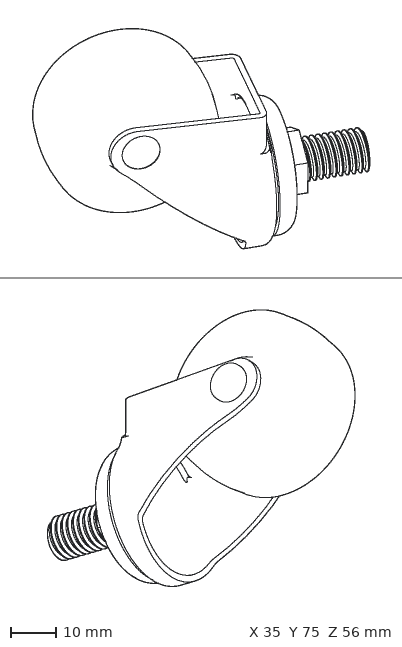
import cadquery as cq
import math


wheel_radius = 20.0
wheel_width = 17.0
axle_y = -30.3
axle_z = 18.45

wheel_edge_fillet = 1.0
crown_height = 0.8
recess_rim_radius = 15.7
recess_floor_radius = 14.25
recess_depth = 1.5
recess_fillet = 0.6
hub_radius = 7.95
hub_draft = 20.0
hub_width = 20.0
hub_fillet = 0.75

shaft_radius = 3.0
head_radius = 4.4
head_thickness = 2.0
head_fillet = 0.5
tail_radius = 4.35
tail_thickness = 0.45
tail_fillet = 0.4

sheet = 1.5
base_radius = 17.5
base_fillet = 1.9
base_inner_fillet = 1.4
plate_step = 0.9
step_outer_radius = 18.2
step_width = 1.05
arm_half_span = 12.5
blend_radius = 8.6
bend_radius = 2.0
plate_top_z = 22.5
arm_end_radius = 5.85
arm_end_y = axle_y - 1.1
skirt_corner_y = -6.9
skirt_corner_z = -8.55
skirt_corner_fillet = 2.25
skirt_end_y = -5.7

neck_radius = 14.4
neck_height = 0.8
neck_taper = 0.8
disc_radius = 15.75
disc_height = 4.8
disc_top_radius = 12.5
shoulder_radius = 14.2
shoulder_drop = 0.45
disc_rim_height = 1.1
nut_flats = 14.2
nut_height = 4.0
thread_length = 15.1
thread_radius = 5.0
thread_root_radius = 4.2
thread_pitch = 1.5
thread_crest = 0.2
thread_foot = 1.1
thread_sink = 0.15

disc_top_y = neck_height + disc_height
nut_top_y = disc_top_y + nut_height
overcut = 7.5


class CirclesOf(cq.Selector):
    """Selects the circular edges of one radius."""

    def __init__(self, radius):
        self.radius = radius

    def filter(self, edges):
        circles = [edge for edge in edges if edge.geomType() == "CIRCLE"]
        return [edge for edge in circles if math.isclose(edge.radius(), self.radius, rel_tol=1e-6)]


def along_x(radius, x_start, x_end):
    """Cylinder on the wheel axis between two X positions."""
    plane = cq.Plane(origin=(x_start, axle_y, axle_z), xDir=(0, 1, 0), normal=(1, 0, 0))
    return cq.Workplane(plane).circle(radius).extrude(x_end - x_start)


def along_y(radius, y_start, y_end):
    """Cylinder on the stem axis between two Y positions (y_start below y_end)."""
    plane = cq.Plane(origin=(0, y_end, 0), xDir=(1, 0, 0), normal=(0, -1, 0))
    return cq.Workplane(plane).circle(radius).extrude(y_end - y_start)


def make_wheel():
    half = wheel_width / 2
    floor = half - recess_depth
    hub_end = hub_width / 2
    shoulder = wheel_radius - crown_height
    slope = math.tan(math.radians(hub_draft))
    hub_foot_radius = hub_radius + slope * recess_depth
    hub_end_radius = hub_radius - slope * (hub_end - half)
    right_side = [
        (half, recess_rim_radius),
        (floor, recess_floor_radius),
        (floor, hub_foot_radius),
        (hub_end, hub_end_radius),
        (hub_end, shaft_radius),
    ]
    left_side = [(-x, radius) for x, radius in reversed(right_side)]
    wheel = (
        cq.Workplane("XY")
        .moveTo(-half, shoulder)
        .threePointArc((0, wheel_radius), (half, shoulder))
        .polyline(right_side + left_side, includeCurrent=True)
        .close()
        .revolve(360, (0, 0, 0), (1, 0, 0))
    )
    wheel = wheel.edges(CirclesOf(shoulder)).fillet(wheel_edge_fillet)
    wheel = wheel.edges(CirclesOf(hub_end_radius)).fillet(hub_fillet)
    for radius in (recess_rim_radius, recess_floor_radius, hub_foot_radius):
        wheel = wheel.edges(CirclesOf(radius)).fillet(recess_fillet)
    return wheel.translate((0, axle_y, axle_z))


def make_axle():
    head = along_x(head_radius, -arm_half_span - head_thickness, -arm_half_span)
    head = head.edges().fillet(head_fillet)
    tail = along_x(tail_radius, arm_half_span, arm_half_span + tail_thickness)
    tail = tail.faces(">X").edges().fillet(tail_fillet)
    shaft = along_x(shaft_radius, -arm_half_span - head_thickness / 2, arm_half_span + tail_thickness / 2)
    return shaft.union(head).union(tail)


def fork_block(wall_radius, half_span, blend, back_y):
    """Block with the fork's outline: round below, necking in to two straight sides above."""
    blend_x = half_span + blend
    center_distance = wall_radius + blend
    straight_z = math.sqrt(center_distance**2 - blend_x**2)
    wall_share = wall_radius / center_distance
    wall_x = blend_x * wall_share
    wall_z = straight_z * wall_share
    middle_angle = math.atan2(straight_z, blend_x) / 2
    mid_x = blend_x - blend * math.cos(middle_angle)
    mid_z = straight_z - blend * math.sin(middle_angle)
    top_z = plate_top_z + overcut
    plane = cq.Plane(origin=(0, back_y, 0), xDir=(1, 0, 0), normal=(0, -1, 0))
    return (
        cq.Workplane(plane)
        .moveTo(half_span, top_z)
        .lineTo(half_span, straight_z)
        .threePointArc((mid_x, mid_z), (wall_x, wall_z))
        .threePointArc((0, -wall_radius), (-wall_x, wall_z))
        .threePointArc((-mid_x, mid_z), (-half_span, straight_z))
        .lineTo(-half_span, top_z)
        .close()
        .extrude(-axle_y + arm_end_radius + overcut)
    )


def stepped_disc(outer_radius, top_y):
    """Round plug whose top edge eases down by the plate step in an S of two arcs."""
    middle_radius = outer_radius - step_width / 2
    inner_radius = outer_radius - step_width
    half_step = plate_step / 2
    arc_radius = ((step_width / 2) ** 2 + half_step**2) / plate_step
    bottom_y = top_y - plate_step - bend_radius
    return (
        cq.Workplane("XY")
        .moveTo(0, top_y)
        .lineTo(inner_radius, top_y)
        .radiusArc((middle_radius, top_y - half_step), -arc_radius)
        .radiusArc((outer_radius, top_y - plate_step), arc_radius)
        .lineTo(outer_radius, bottom_y)
        .lineTo(0, bottom_y)
        .close()
        .revolve(360, (0, 0, 0), (0, 1, 0))
    )


def pressed_shape(inset, bend, base_bend, plug):
    """Fork block with its back plate, plus the round base that stands out of the plate.

    The inset moves every face inward by one distance, which gives the hollow of the fork.
    """
    size = (base_radius - inset, arm_half_span - inset, blend_radius + inset)
    block = fork_block(*size, -plate_step - inset).faces(">Y").edges("not >Z").fillet(bend)
    base = fork_block(*size, -inset).faces(">Y").edges("not >Z").fillet(base_bend)
    return block.union(base.intersect(plug))


def tangent_point(start_y, start_z, side):
    """Where a line from a point touches the arm's end circle, on its upper (1) or lower (-1) side."""
    reach_y = start_y - arm_end_y
    reach_z = start_z - axle_z
    turn = math.acos(arm_end_radius / math.hypot(reach_y, reach_z))
    angle = math.atan2(reach_z, reach_y) + side * turn
    return arm_end_y + arm_end_radius * math.cos(angle), axle_z + arm_end_radius * math.sin(angle)


def side_outline():
    """Solid with the fork's outline in the YZ plane, wider than the fork."""
    upper = tangent_point(-plate_step, plate_top_z, 1)
    lower = tangent_point(skirt_corner_y, skirt_corner_z, -1)
    outline = (
        cq.Workplane("YZ", origin=(-base_radius - overcut, 0, 0))
        .moveTo(0, plate_top_z)
        .lineTo(-plate_step, plate_top_z)
        .lineTo(*upper)
        .threePointArc((arm_end_y - arm_end_radius, axle_z), lower)
        .lineTo(skirt_corner_y, skirt_corner_z)
        .lineTo(skirt_end_y, -base_radius)
        .lineTo(0, -base_radius)
        .close()
        .extrude(2 * (base_radius + overcut))
    )
    corner = cq.selectors.NearestToPointSelector((0, skirt_corner_y, skirt_corner_z))
    return outline.edges("|X").edges(corner).fillet(skirt_corner_fillet)


def make_fork():
    outer_plug = stepped_disc(step_outer_radius, 0)
    hollow_plug = stepped_disc(step_outer_radius - sheet, -sheet)
    outside = pressed_shape(0, bend_radius, base_fillet, outer_plug)
    hollow = pressed_shape(sheet, bend_radius - sheet, base_inner_fillet, hollow_plug)
    fork = outside.cut(hollow).intersect(side_outline())
    return fork.cut(along_x(shaft_radius, -base_radius, base_radius))


def make_swivel_disc():
    """Turned disc: bevelled and rounded on top, with a tapered neck that meets the fork."""
    shoulder_y = disc_top_y - shoulder_drop
    rim_y = neck_height + disc_rim_height
    run = disc_radius - shoulder_radius
    rise = shoulder_y - rim_y
    rounding = (run**2 + rise**2) / (2 * run)
    return (
        cq.Workplane("XY")
        .lineTo(neck_radius - neck_taper, 0)
        .lineTo(neck_radius, neck_height)
        .lineTo(disc_radius, neck_height)
        .lineTo(disc_radius, rim_y)
        .radiusArc((shoulder_radius, shoulder_y), -rounding)
        .lineTo(disc_top_radius, disc_top_y)
        .lineTo(0, disc_top_y)
        .close()
        .revolve(360, (0, 0, 0), (0, 1, 0))
    )


def make_nut():
    corner_diameter = nut_flats / math.cos(math.pi / 6)
    plane = cq.Plane(origin=(0, nut_top_y, 0), xDir=(0, 0, 1), normal=(0, -1, 0))
    return cq.Workplane(plane).polygon(6, corner_diameter).extrude(nut_height + shoulder_drop)


def make_stem():
    """Threaded rod: a core with one helical ridge, trimmed flush at both ends."""
    lead_in = thread_pitch
    start_angle = 90
    foot_radius = thread_root_radius - thread_sink
    path = cq.Wire.makeHelix(thread_pitch, thread_length + 2 * lead_in, thread_root_radius)
    ridge = (
        cq.Workplane("XZ")
        .moveTo(foot_radius, -thread_foot / 2)
        .lineTo(thread_radius, -thread_crest / 2)
        .lineTo(thread_radius, thread_crest / 2)
        .lineTo(foot_radius, thread_foot / 2)
        .close()
        .sweep(cq.Workplane(path), isFrenet=True)
        .rotate((0, 0, 0), (0, 0, 1), start_angle)
        .rotate((0, 0, 0), (1, 0, 0), -90)
        .translate((0, nut_top_y - lead_in, 0))
    )
    stem_end_y = nut_top_y + thread_length
    ridge = ridge.intersect(along_y(disc_radius, nut_top_y, stem_end_y))
    return along_y(thread_root_radius, nut_top_y - nut_height, stem_end_y).union(ridge)


def make_frame():
    return make_fork().union(make_swivel_disc()).union(make_nut()).union(make_stem())


frame = make_frame()
wheel = make_wheel()
axle = make_axle()

result = cq.Compound.makeCompound([frame.val(), wheel.val(), axle.val()])